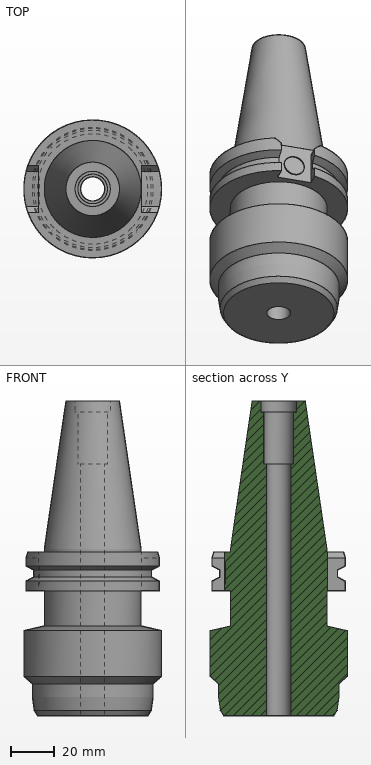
import cadquery as cq

total_height = 144.5
nose_chamfer_top = 2.6
nose_taper_top = 8.7
nose_top = 14.7
body_bottom = 18.2
body_top = 39.1
neck_bottom = 41.3
flange_bottom = 57.3
groove_lower_edge = 61.8
groove_floor_bottom = 63.7
groove_floor_top = 66.9
groove_upper_edge = 68.8
flange_top = 75.3
taper_bottom = 76.4

nose_face_radius = 25.3
nose_chamfer_radius = 26.9
nose_radius = 27.7
body_radius = 31.6
neck_radius = 22.2
flange_radius = 31.6
groove_radius = 28.2
taper_base_radius = 22.2
taper_tip_radius = 12.3

through_radius = 5.5
thread_radius = 6.8
thread_depth = 28.9
counterbore_radius = 8.1
counterbore_depth = 5.2

slot_half_width = 8.0
slot_chamfer = 2.9
left_floor_distance = 24.8
right_floor_distance = 22.4

dimple_radius = 4.8
dimple_height = 65.3
dimple_depth = 0.5


def make_body():
    """Revolve the outside profile about the Z axis."""
    profile = [
        (0, 0),
        (nose_face_radius, 0),
        (nose_chamfer_radius, nose_chamfer_top),
        (nose_radius, nose_taper_top),
        (nose_radius, nose_top),
        (body_radius, body_bottom),
        (body_radius, body_top),
        (neck_radius, neck_bottom),
        (neck_radius, flange_bottom),
        (flange_radius, flange_bottom),
        (flange_radius, groove_lower_edge),
        (groove_radius, groove_floor_bottom),
        (groove_radius, groove_floor_top),
        (flange_radius, groove_upper_edge),
        (flange_radius, flange_top),
        (taper_base_radius, flange_top),
        (taper_base_radius, taper_bottom),
        (taper_tip_radius, total_height),
        (0, total_height),
    ]
    return cq.Workplane("XZ").polyline(profile).close().revolve(360, (0, 0, 0), (0, 1, 0))


def bore_step(radius, depth):
    """Cylinder sunk from the small end of the taper."""
    return cq.Workplane("XY").workplane(offset=total_height - depth).circle(radius).extrude(depth)


def drive_slot(side, floor_distance):
    """Cutter through the flange with a flared mouth; side is -1 or +1 along X."""
    half_mouth = slot_half_width + slot_chamfer
    outline = [
        (-slot_half_width, flange_bottom),
        (slot_half_width, flange_bottom),
        (slot_half_width, flange_top - slot_chamfer),
        (half_mouth, flange_top),
        (-half_mouth, flange_top),
        (-slot_half_width, flange_top - slot_chamfer),
    ]
    plane = cq.Workplane("YZ").workplane(offset=side * floor_distance)
    return plane.polyline(outline).close().extrude(side * flange_radius)


def slot_dimple():
    """Blind round recess going inward from the left slot floor."""
    plane = cq.Workplane("YZ").workplane(offset=-left_floor_distance)
    return plane.center(0, dimple_height).circle(dimple_radius).extrude(dimple_depth)


result = make_body()
result = result.cut(bore_step(through_radius, total_height))
result = result.cut(bore_step(thread_radius, thread_depth))
result = result.cut(bore_step(counterbore_radius, counterbore_depth))
result = result.cut(drive_slot(-1, left_floor_distance))
result = result.cut(drive_slot(1, right_floor_distance))
result = result.cut(slot_dimple())